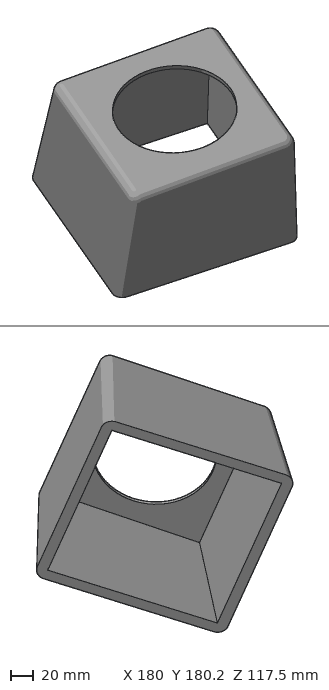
import cadquery as cq
import math

width = 180.0
depth = 180.2
back_height = 117.9
side_lean = 3.0
front_lean = 10.0
roof_slope = 2.3
edge_radius = 10.0

wall = 10.0
roof = 4.0
hole_diameter = 110.0
hole_offset = 9.7


def tangent(degrees):
    return math.tan(math.radians(degrees))


def sloped_block(wall_inset, roof_inset):
    """Sharp-edged block with its walls and roof moved inward by the given insets."""
    side_inset = wall_inset / math.cos(math.radians(side_lean))
    front_inset = wall_inset / math.cos(math.radians(front_lean))
    roof_drop = roof_inset / math.cos(math.radians(roof_slope))

    half_base = width / 2 - side_inset
    half_top = half_base - back_height * tangent(side_lean)
    front_view = (
        cq.Workplane("XZ")
        .polyline([(-half_base, 0), (half_base, 0), (half_top, back_height), (-half_top, back_height)])
        .close()
        .extrude(depth, both=True)
    )

    back = depth / 2 - wall_inset
    front = -depth / 2 + front_inset
    roof_at_back = back_height - roof_drop - wall_inset * tangent(roof_slope)
    roof_at_front_base = roof_at_back - (back - front) * tangent(roof_slope)
    front_height = roof_at_front_base / (1 - tangent(front_lean) * tangent(roof_slope))
    front_top = front + front_height * tangent(front_lean)
    side_view = (
        cq.Workplane("YZ")
        .polyline([(front, 0), (back, 0), (back, roof_at_back), (front_top, front_height)])
        .close()
        .extrude(width, both=True)
    )
    return front_view.intersect(side_view)


outside = sloped_block(0, 0).edges("not(<Z)").fillet(edge_radius)

inside = sloped_block(wall, roof)

roof_hole = (
    cq.Workplane("XY")
    .center(0, hole_offset)
    .circle(hole_diameter / 2)
    .extrude(back_height)
)

result = outside.cut(inside).cut(roof_hole)